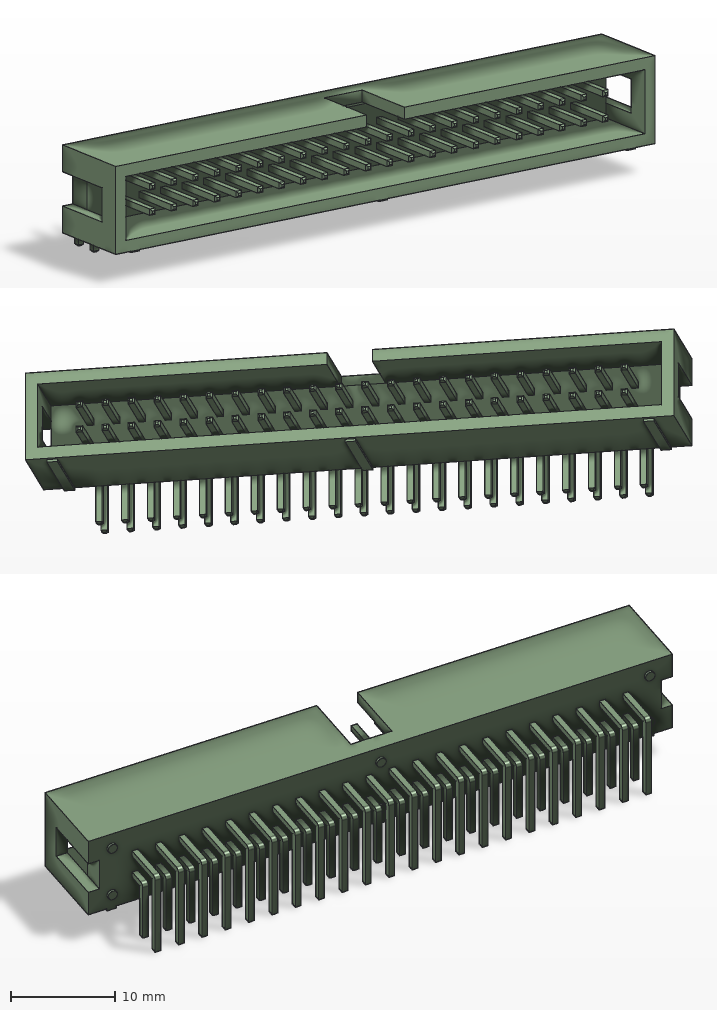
import cadquery as cq


body_depth = 8.85
body_length = 63.55
body_height = 8.85
mid_height = body_height / 2
wall = 1.2
cavity_floor = 2.4

key_width = 4.45
key_floor = 1.85

window_height = 3.4
window_end = 6.55

peg_diameter = 1.0
peg_height = 0.25
peg_row_spacing = 5.6
rib_height = 0.25
rib_length = 8.45
standoff_offset = 29.2
standoff_places = (-standoff_offset, 0, standoff_offset)

pin_size = 0.65
pin_pitch = 2.55
pins_per_row = 22
pin_bend_radius = 0.45
pin_tip_chamfer = 0.2
pin_mating_end = 7.95
pin_board_end = -3.25
rear_leg = -4.4


def block(x_range, y_range, z_range):
    """Box spanning the given (low, high) limits on each axis."""
    lows = [limits[0] for limits in (x_range, y_range, z_range)]
    sizes = [limits[1] - limits[0] for limits in (x_range, y_range, z_range)]
    return cq.Workplane("XY").box(*sizes, centered=False).translate(tuple(lows))


def make_shroud():
    half_length = body_length / 2
    inner_half = half_length - wall
    full_y = (-half_length, half_length)
    window_z = (mid_height - window_height / 2, mid_height + window_height / 2)

    shroud = block((0, body_depth), full_y, (0, body_height))
    cavity = block((cavity_floor, body_depth), (-inner_half, inner_half), (wall, body_height - wall))
    key_slot = block(
        (key_floor, body_depth),
        (-key_width / 2, key_width / 2),
        (body_height - wall, body_height),
    )
    shroud = shroud.cut(cavity).cut(key_slot)
    for y_range in ((-half_length, -inner_half), (inner_half, half_length)):
        shroud = shroud.cut(block((0, window_end), y_range, window_z))
    return shroud


def make_standoffs():
    """Round pegs on the rear face and a rib below each pair of pegs."""
    peg_heights = (mid_height - peg_row_spacing / 2, mid_height + peg_row_spacing / 2)
    peg_points = [(y, z) for y in standoff_places for z in peg_heights]
    standoffs = cq.Workplane("YZ").pushPoints(peg_points).circle(peg_diameter / 2).extrude(-peg_height)
    for y in standoff_places:
        rib_y = (y - peg_diameter / 2, y + peg_diameter / 2)
        standoffs = standoffs.union(block((0, rib_length), rib_y, (-rib_height, 0)))
    return standoffs


def make_pin(leg_x, arm_z):
    """Square L-shaped pin, with leg_x and arm_z on the centre lines of its two legs."""
    half = pin_size / 2
    arm = block((leg_x - half, pin_mating_end), (-half, half), (arm_z - half, arm_z + half))
    leg = block((leg_x - half, leg_x + half), (-half, half), (pin_board_end, arm_z + half))
    leg = leg.faces("<Z").chamfer(pin_tip_chamfer)
    arm = arm.faces(">X").chamfer(pin_tip_chamfer)
    outer_corner = cq.selectors.NearestToPointSelector((leg_x - half, 0, arm_z + half))
    return arm.union(leg).edges("|Y").edges(outer_corner).fillet(pin_bend_radius)


def make_pins():
    """Two rows of pins; the upper row bends down behind the lower row."""
    upper = make_pin(rear_leg, mid_height + pin_pitch / 2)
    lower = make_pin(rear_leg + pin_pitch, mid_height - pin_pitch / 2)
    first_y = -pin_pitch * (pins_per_row - 1) / 2
    pins = []
    for index in range(pins_per_row):
        shift = (0, first_y + index * pin_pitch, 0)
        pins.append(upper.translate(shift))
        pins.append(lower.translate(shift))
    return pins


result = make_shroud().union(make_standoffs())
for pin in make_pins():
    result = result.union(pin)